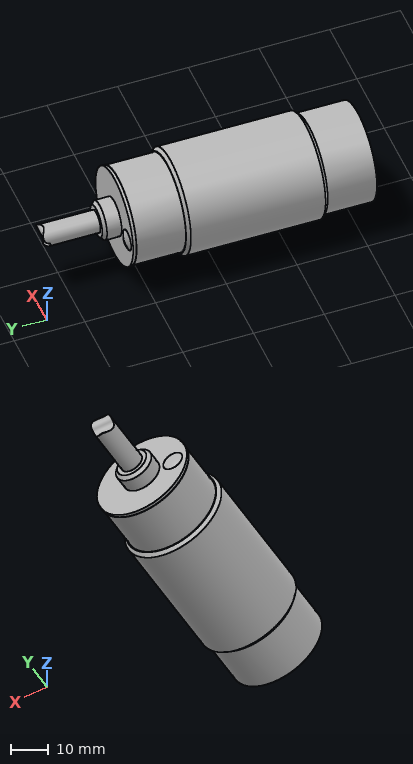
import cadquery as cq

FRONT_LENGTH = 13.95
SLEEVE_END = 54.0
FLANGE_START = 67.9
HOUSING_LENGTH = 68.9
SLEEVE_CHAMFER = 1.0

FRONT_DIAMETER = 28.0
SLEEVE_DIAMETER = 30.0
REAR_DIAMETER = 27.5
FLANGE_DIAMETER = 27.8

GLAND_DIAMETER = 11.0
GLAND_LENGTH = 5.1
GLAND_CHAMFER = 1.0
GLAND_END = HOUSING_LENGTH + GLAND_LENGTH

WINDOW_DIAMETER = 5.85
WINDOW_HEIGHT = 0.8
WINDOW_OFFSET = 9.5

TOTAL_LENGTH = 90.0
CABLE_DIAMETER = 6.4
BREAK_DEPTH = 1.0
BREAK_MIDDLE = TOTAL_LENGTH - BREAK_DEPTH


def cylinder(diameter, start, end):
    """Round bar on the Y axis between two stations."""
    return (
        cq.Workplane("XZ", origin=(0, start, 0))
        .circle(diameter / 2)
        .extrude(start - end)
    )


def make_window():
    """Shallow spherical dome standing on the rear face."""
    radius = WINDOW_DIAMETER / 2
    sphere_radius = (radius**2 + WINDOW_HEIGHT**2) / (2 * WINDOW_HEIGHT)
    center_y = HOUSING_LENGTH + WINDOW_HEIGHT - sphere_radius
    sphere = cq.Workplane("XY").sphere(sphere_radius).translate((-WINDOW_OFFSET, center_y, 0))
    dome_zone = cylinder(WINDOW_DIAMETER, FLANGE_START, GLAND_END).translate((-WINDOW_OFFSET, 0, 0))
    return sphere.intersect(dome_zone)


def make_housing():
    """Stepped round housing with its rear flange, gland and indicator window."""
    front = cylinder(FRONT_DIAMETER, 0, FRONT_LENGTH)
    sleeve = cylinder(SLEEVE_DIAMETER, FRONT_LENGTH, SLEEVE_END).edges("%CIRCLE").chamfer(SLEEVE_CHAMFER)
    rear = cylinder(REAR_DIAMETER, SLEEVE_END, FLANGE_START)
    flange = cylinder(FLANGE_DIAMETER, FLANGE_START, HOUSING_LENGTH)
    gland = cylinder(GLAND_DIAMETER, HOUSING_LENGTH, GLAND_END).faces(">Y").chamfer(GLAND_CHAMFER)
    return front.union(sleeve).union(rear).union(flange).union(gland).union(make_window())


def make_cable():
    """Cable butting on the gland, its free end shaped by two opposite arcs."""
    radius = CABLE_DIAMETER / 2
    envelope = (
        cq.Workplane("YZ")
        .moveTo(GLAND_END, radius)
        .lineTo(BREAK_MIDDLE, radius)
        .threePointArc((BREAK_MIDDLE + BREAK_DEPTH, radius / 2), (BREAK_MIDDLE, 0))
        .threePointArc((BREAK_MIDDLE - BREAK_DEPTH, -radius / 2), (BREAK_MIDDLE, -radius))
        .lineTo(GLAND_END, -radius)
        .close()
        .extrude(radius, both=True)
    )
    return cylinder(CABLE_DIAMETER, GLAND_END, TOTAL_LENGTH).intersect(envelope)


housing = make_housing()
cable = make_cable()
result = cq.Compound.makeCompound([housing.solids().val(), cable.solids().val()])